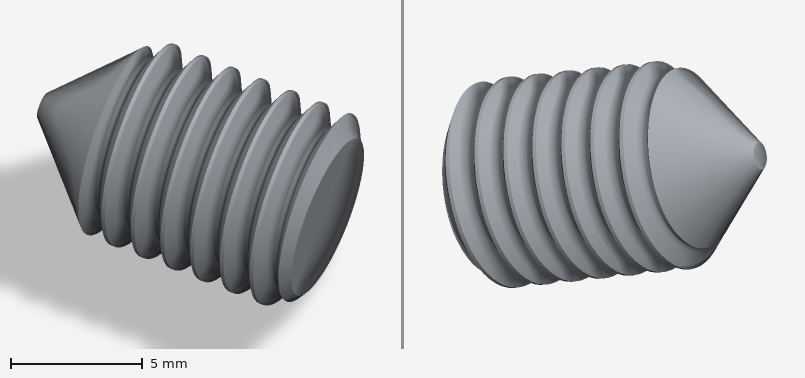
import cadquery as cq

length = 12.0
major_radius = 8.0 / 2
tip_radius = 0.53

threads_in_length = 9.6
pitch = length / threads_in_length
root_radius = 3.2
crest_width = pitch / 8
root_width = 0.18
ridge_base_width = pitch - root_width
crest_start = 3.22
root_overlap = 0.06

envelope_clearance = 0.24
overrun = 4.8

chamfer_slope = 1.4


def make_envelope():
    """Solid of revolution with a 45 degree cone point and a chamfered plain end."""
    outer_radius = major_radius + envelope_clearance
    cone_length = outer_radius - tip_radius
    chamfer_length = (outer_radius - root_radius) / chamfer_slope
    return (
        cq.Workplane("XY")
        .moveTo(0, 0)
        .lineTo(0, tip_radius)
        .lineTo(cone_length, outer_radius)
        .lineTo(length - chamfer_length, outer_radius)
        .lineTo(length, root_radius)
        .lineTo(length, 0)
        .close()
        .revolve(360, (0, 0, 0), (1, 0, 0))
    )


def make_ridge():
    """Right-handed thread ridge, starting inside the cone point and passing the plain end."""
    turns_before = 2
    turns = 11
    flank_slope = (ridge_base_width - crest_width) / 2 / (major_radius - root_radius)
    base_radius = root_radius - root_overlap
    half_base = ridge_base_width / 2 + flank_slope * root_overlap
    half_crest = crest_width / 2
    helix = cq.Wire.makeHelix(pitch, turns * pitch, root_radius)
    ridge = (
        cq.Workplane("XZ")
        .moveTo(base_radius, -half_base)
        .lineTo(major_radius, -half_crest)
        .lineTo(major_radius, half_crest)
        .lineTo(base_radius, half_base)
        .close()
        .sweep(cq.Workplane(obj=helix), isFrenet=True)
    )
    return (
        ridge.rotate((0, 0, 0), (0, 1, 0), 90)
        .rotate((0, 0, 0), (1, 0, 0), -90)
        .translate((crest_start - turns_before * pitch, 0, 0))
    )


core = (
    cq.Workplane("YZ")
    .workplane(offset=-overrun)
    .circle(root_radius)
    .extrude(length + 2 * overrun)
)
result = core.union(make_ridge()).intersect(make_envelope())